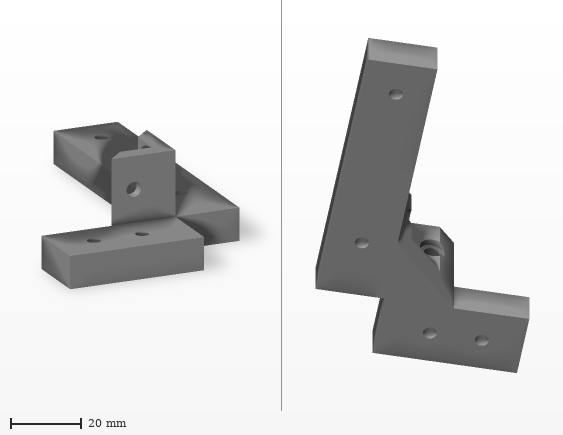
import cadquery as cq

total_x = 105.0
total_y = 62.0
bar_width = 20.1
bar_thickness = 10.0
long_bar_length = total_x - bar_width
short_bar_length = total_y - bar_width

bar_hole_diameter = 4.0
long_bar_end_margin = 11.0
long_bar_hole_spacing = 55.0
short_bar_first_hole = 14.9
short_bar_hole_spacing = 15.0

bracket_leg = bar_width
bracket_height = 30.0
wall = 5.0

screw_hole_diameter = 4.5
counterbore_diameter = 7.5
counterbore_depth = 2.0
screw_offset = 13.0
screw_height = 20.0


def corner_prism(inset, bottom):
    """Right-angled prism behind the diagonal face, inset from the two outer walls."""
    leg = bracket_leg - 2 * inset
    return (
        cq.Workplane("XY", origin=(-inset, -inset, bottom))
        .polyline([(0, 0), (-leg, 0), (0, -leg)])
        .close()
        .extrude(bracket_height - bottom)
    )


def screw_cutter(outer_point, inward):
    """Through hole from the outer wall face, widened on the inner side of the wall."""
    start = cq.Vector(*outer_point)
    direction = cq.Vector(*inward)
    floor = start + direction * (wall - counterbore_depth)
    hole = cq.Solid.makeCylinder(screw_hole_diameter / 2, bracket_leg, start, direction)
    counterbore = cq.Solid.makeCylinder(counterbore_diameter / 2, bracket_leg, floor, direction)
    return cq.Workplane(hole.fuse(counterbore))


long_bar = cq.Workplane("XY").box(long_bar_length, bar_width, bar_thickness, centered=False)
long_bar = long_bar.translate((-long_bar_length, 0, 0))
short_bar = cq.Workplane("XY").box(bar_width, short_bar_length, bar_thickness, centered=False)
short_bar = short_bar.translate((0, -short_bar_length, 0))

bracket = corner_prism(0, 0).cut(corner_prism(wall, bar_thickness))
bracket = bracket.cut(screw_cutter((-screw_offset, 0, screw_height), (0, -1, 0)))
bracket = bracket.cut(screw_cutter((0, -screw_offset, screw_height), (-1, 0, 0)))

first_x = long_bar_end_margin - long_bar_length
bar_hole_points = [
    (first_x, bar_width / 2),
    (first_x + long_bar_hole_spacing, bar_width / 2),
    (bar_width / 2, -short_bar_first_hole),
    (bar_width / 2, -short_bar_first_hole - short_bar_hole_spacing),
]
bar_holes = (
    cq.Workplane("XY")
    .pushPoints(bar_hole_points)
    .circle(bar_hole_diameter / 2)
    .extrude(bar_thickness)
)

result = long_bar.union(bracket).union(short_bar).cut(bar_holes)